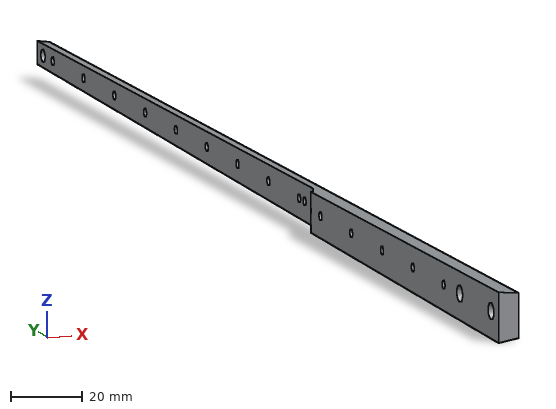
import cadquery as cq
import math

length = 382.3
thickness = 6.35
wide_end_height = 14.57
wide_end_upper = 6.57
wide_end_lower = wide_end_height - wide_end_upper
narrow_end_half_height = 3.72
draft_angle = 7.23

thin_thickness = 3.5
step_depth = thickness - thin_thickness
step_start = 152.3
runout_length = 8.0

draft_at_step = step_depth * math.tan(math.radians(draft_angle))
blank_length = length + draft_at_step

large_hole_diameter = 4.7
large_hole_positions = [6.2, 31.6]
row_hole_diameter = 2.34
row_pitch = 25.0
row_start = 44.65
row_count = 14
joint_hole_positions = [153.7, 165.2]
end_hole_diameter = 3.5
end_hole_margin = 4.75
end_hole_position = length - end_hole_margin


def tapered_blank():
    """Tapered bar whose edges and ends all slope inward towards +X."""
    outline = [
        (0, -wide_end_lower),
        (blank_length, -narrow_end_half_height),
        (blank_length, narrow_end_half_height),
        (0, wide_end_upper),
    ]
    return cq.Workplane("YZ").polyline(outline).close().extrude(thickness, taper=draft_angle)


def thinning_cut():
    """Material removed from the broad face, from the arc run-out to the narrow end."""
    runout_radius = (runout_length**2 + step_depth**2) / (2 * step_depth)
    half_sweep = math.asin(runout_length / runout_radius) / 2
    arc_end_y = step_start + runout_length
    arc_middle = (
        step_depth - runout_radius * (1 - math.cos(half_sweep)),
        arc_end_y - runout_radius * math.sin(half_sweep),
    )
    return (
        cq.Workplane("XY")
        .moveTo(0, step_start)
        .threePointArc(arc_middle, (step_depth, arc_end_y))
        .lineTo(step_depth, blank_length)
        .lineTo(0, blank_length)
        .close()
        .extrude(wide_end_height, both=True)
    )


def through_holes(diameter, positions):
    """Holes through the thickness at the given distances from the wide end."""
    centres = [(position, 0) for position in positions]
    return cq.Workplane("YZ").pushPoints(centres).circle(diameter / 2).extrude(thickness)


row_hole_positions = [row_start + index * row_pitch for index in range(row_count)]

result = (
    tapered_blank()
    .cut(thinning_cut())
    .cut(through_holes(large_hole_diameter, large_hole_positions))
    .cut(through_holes(row_hole_diameter, row_hole_positions + joint_hole_positions))
    .cut(through_holes(end_hole_diameter, [end_hole_position]))
)